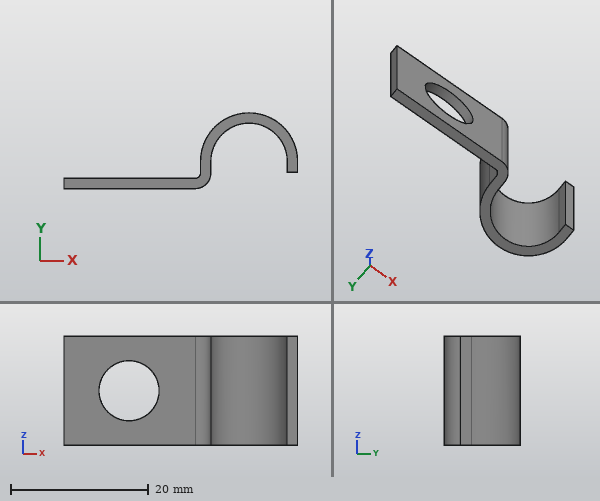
import cadquery as cq

length = 34.05
depth = 11.05
width = 15.87

thickness = 1.53
saddle_outer_radius = 7.08
saddle_inner_radius = saddle_outer_radius - thickness
bend_inner_radius = 0.75
bend_outer_radius = bend_inner_radius + thickness
free_leg_length = 1.6

hole_diameter = 8.7
hole_from_end = 9.5

saddle_x = length - saddle_outer_radius
saddle_y = depth - saddle_outer_radius
neck_outer_x = saddle_x - saddle_outer_radius
neck_inner_x = saddle_x - saddle_inner_radius
bend_x = neck_inner_x - bend_outer_radius
bend_y = bend_outer_radius
free_end_y = saddle_y - free_leg_length


def make_strip():
    """Bent strip: flat tab, rounded bend, half-round saddle and short free leg."""
    return (
        cq.Workplane("XY")
        .moveTo(0, 0)
        .lineTo(bend_x, 0)
        .radiusArc((neck_inner_x, bend_y), -bend_outer_radius)
        .lineTo(neck_inner_x, saddle_y)
        .threePointArc(
            (saddle_x, saddle_y + saddle_inner_radius),
            (saddle_x + saddle_inner_radius, saddle_y),
        )
        .lineTo(saddle_x + saddle_inner_radius, free_end_y)
        .lineTo(length, free_end_y)
        .lineTo(length, saddle_y)
        .threePointArc((saddle_x, depth), (neck_outer_x, saddle_y))
        .lineTo(neck_outer_x, bend_y)
        .radiusArc((bend_x, thickness), bend_inner_radius)
        .lineTo(0, thickness)
        .close()
        .extrude(width)
    )


def make_hole_cutter():
    """Cylinder along Y that passes through the tab."""
    return (
        cq.Workplane("XZ", origin=(hole_from_end, thickness, width / 2))
        .circle(hole_diameter / 2)
        .extrude(thickness)
    )


result = make_strip().cut(make_hole_cutter())